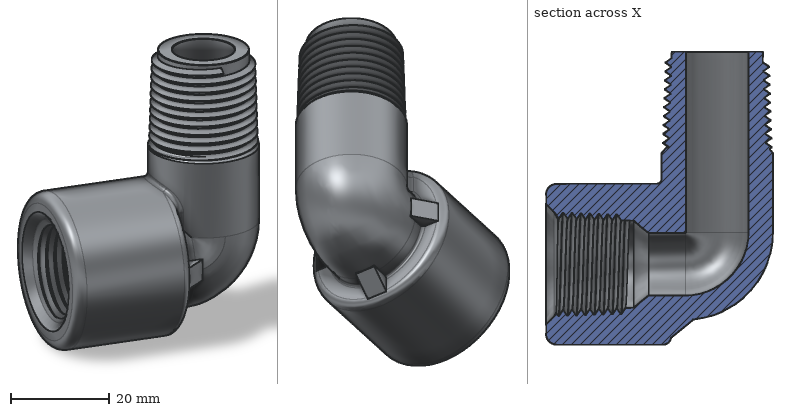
import cadquery as cq
import math

PIPE_RADIUS = 22.7 / 2
BORE_RADIUS = 12.7 / 2
SOCKET_RADIUS = 32.75 / 2
OVERALL_DEPTH = 46.15
OVERALL_HEIGHT = 59.55
BEND_RADIUS = 6.55

PIPE_TOP = OVERALL_HEIGHT - SOCKET_RADIUS
SOCKET_FRONT = OVERALL_DEPTH - PIPE_RADIUS
SOCKET_BACK = 9.35
SOCKET_FRONT_FILLET = 2.25
SOCKET_BACK_FILLET = 1.7
NECK_FILLET = 0.9

THREAD_PITCH = 19.95 / 11
THREAD_TAPER = 1 / 32
THREAD_HEIGHT = 1.2
RIDGE_BASE = 1.8
RIDGE_CREST = 0.1
RIDGE_OVERLAP = 0.05

MALE_TIP_RADIUS = 9.3
MALE_NECK = 1.7
MALE_TURNS = 11
HIDDEN_TURNS = 2
SHOULDER_Z = 22.6
SHOULDER_HEIGHT = 1.2
SHOULDER_TOP_RADIUS = 10.35
TIP_CHAMFER = 0.1

FEMALE_TIP_RADIUS = 8.8
FEMALE_DEPTH = 17.85
FEMALE_TURNS = 8
FEMALE_NECK = 1.65
MOUTH_RADIUS = 12.25
MOUTH_INNER_RADIUS = 10.65
MOUTH_DEPTH = MOUTH_RADIUS - MOUTH_INNER_RADIUS
LEAD_IN_LENGTH = 0.8
CONE_LENGTH = 3.0

COLLAR_FILLET = 0.6
WALL_OVERLAP = 1.2

GUSSET_WIDTH = 4.5
GUSSET_START = 4.95
GUSSET_HEIGHT = 3.6


def threaded_plug(tip_radius, length, turns, neck):
    """Tapered core along Z with its tip at z = 0, widening downwards, with a helical ridge."""
    base_radius = tip_radius + length * THREAD_TAPER
    core = cq.Workplane("XZ").polyline(
        [(0, 0), (tip_radius, 0), (base_radius, -length), (0, -length)]
    ).close().revolve(360, (0, 0, 0), (0, 1, 0))

    helix_height = turns * THREAD_PITCH
    helix_start = -neck - helix_height
    start_radius = tip_radius - helix_start * THREAD_TAPER
    helix = cq.Wire.makeHelix(
        THREAD_PITCH, helix_height, start_radius, angle=-math.degrees(math.atan(THREAD_TAPER))
    ).translate(cq.Vector(0, 0, helix_start))
    inner = start_radius - RIDGE_OVERLAP
    crest = start_radius + THREAD_HEIGHT
    ridge = cq.Workplane("XZ").polyline([
        (inner, helix_start - RIDGE_BASE / 2),
        (crest, helix_start - RIDGE_CREST / 2),
        (crest, helix_start + RIDGE_CREST / 2),
        (inner, helix_start + RIDGE_BASE / 2),
    ]).close().sweep(cq.Workplane(helix), isFrenet=True)
    return core.union(ridge)


def toward_socket(shape):
    """Turn a shape built along +Z so that it points along -Y."""
    return shape.rotate((0, 0, 0), (1, 0, 0), 90)


def cylinder(radius, start, end):
    return cq.Workplane("XY").workplane(offset=start).circle(radius).extrude(end - start)


def cone(start_radius, end_radius, start, end):
    outline = [(0, start), (start_radius, start), (end_radius, end), (0, end)]
    return cq.Workplane("XZ").polyline(outline).close().revolve(360, (0, 0, 0), (0, 1, 0))


def elbow(radius, top, front):
    """Upright run to z = top, quarter bend, and outlet run to y = -front."""
    section = cq.Sketch().circle(radius)
    if radius > BEND_RADIUS:
        section = section.push([(0, -BEND_RADIUS - radius)]).rect(4 * radius, 2 * radius, mode="s")
    bend = (
        cq.Workplane("XY", origin=(0, 0, BEND_RADIUS)).placeSketch(section)
        .revolve(90, (0.6, -BEND_RADIUS, 0), (0, -BEND_RADIUS, 0))
    )
    upright = cylinder(radius, BEND_RADIUS, top)
    outlet = toward_socket(cylinder(radius, BEND_RADIUS, front))
    return upright.union(bend).union(outlet)


def socket_collar():
    """Flared foot that rounds the corner between the outlet and the back of the socket."""
    start = SOCKET_BACK - COLLAR_FILLET
    rim = PIPE_RADIUS + COLLAR_FILLET
    mid = COLLAR_FILLET * math.sqrt(0.5)
    foot = (
        cq.Workplane("XZ").moveTo(0, start).lineTo(PIPE_RADIUS, start)
        .threePointArc((rim - mid, start + mid), (rim, SOCKET_BACK))
        .lineTo(rim, SOCKET_BACK + WALL_OVERLAP).lineTo(0, SOCKET_BACK + WALL_OVERLAP)
        .close().revolve(360, (0, 0, 0), (0, 1, 0))
    )
    return toward_socket(foot)


def gusset(angle):
    """Triangular rib between the outlet and the back of the socket, turned about Y."""
    inner = PIPE_RADIUS - WALL_OVERLAP
    end = SOCKET_BACK + WALL_OVERLAP
    outline = [
        (inner, -GUSSET_START),
        (PIPE_RADIUS, -GUSSET_START),
        (PIPE_RADIUS + GUSSET_HEIGHT, -SOCKET_BACK),
        (PIPE_RADIUS + GUSSET_HEIGHT, -end),
        (inner, -end),
    ]
    rib = cq.Workplane("XY").polyline(outline).close().extrude(GUSSET_WIDTH / 2, both=True)
    return rib.rotate((0, 0, 0), (0, 1, 0), angle)


socket = toward_socket(cylinder(SOCKET_RADIUS, SOCKET_BACK, SOCKET_FRONT))
socket = socket.faces("<Y").edges().fillet(SOCKET_FRONT_FILLET)
socket = socket.faces(">Y").edges().fillet(SOCKET_BACK_FILLET)
body = elbow(PIPE_RADIUS, SHOULDER_Z, SOCKET_BACK + WALL_OVERLAP).union(socket)

seam_box = cq.selectors.BoxSelector(
    (-PIPE_RADIUS, -PIPE_RADIUS, SOCKET_BACK),
    (PIPE_RADIUS, -SOCKET_BACK + COLLAR_FILLET, SOCKET_RADIUS),
)
body = body.edges(seam_box - cq.selectors.TypeSelector("CIRCLE")).fillet(NECK_FILLET)
body = body.union(socket_collar())

for angle in (0, 90, 180):
    body = body.union(gusset(angle))

shoulder_top = SHOULDER_Z + SHOULDER_HEIGHT
shoulder = cone(PIPE_RADIUS, SHOULDER_TOP_RADIUS, SHOULDER_Z, shoulder_top)
male_length = PIPE_TOP - SHOULDER_Z + HIDDEN_TURNS * THREAD_PITCH
male_end = threaded_plug(MALE_TIP_RADIUS, male_length, MALE_TURNS, MALE_NECK)
body = body.union(shoulder).union(male_end.translate((0, 0, PIPE_TOP)))

cone_start = SOCKET_FRONT - FEMALE_DEPTH
body = body.cut(elbow(BORE_RADIUS, PIPE_TOP, cone_start))
body = body.faces(">Z").edges().chamfer(TIP_CHAMFER)

female_thread = threaded_plug(FEMALE_TIP_RADIUS, FEMALE_DEPTH, FEMALE_TURNS, FEMALE_NECK)
female_thread = female_thread.rotate((0, 0, 0), (1, 0, 0), 180).rotate((0, 0, 0), (0, 0, 1), 90)
female_thread = female_thread.translate((0, 0, cone_start))
mouth_start = SOCKET_FRONT - MOUTH_DEPTH
lead_in_start = mouth_start - LEAD_IN_LENGTH
lead_in_radius = FEMALE_TIP_RADIUS + (lead_in_start - cone_start) * THREAD_TAPER
bottom = cone(BORE_RADIUS, FEMALE_TIP_RADIUS, cone_start - CONE_LENGTH, cone_start)
lead_in = cone(lead_in_radius, MOUTH_INNER_RADIUS, lead_in_start, mouth_start)
mouth = cone(MOUTH_INNER_RADIUS, MOUTH_RADIUS, mouth_start, SOCKET_FRONT)
for cutter in (female_thread, bottom, lead_in, mouth):
    body = body.cut(toward_socket(cutter))

result = body